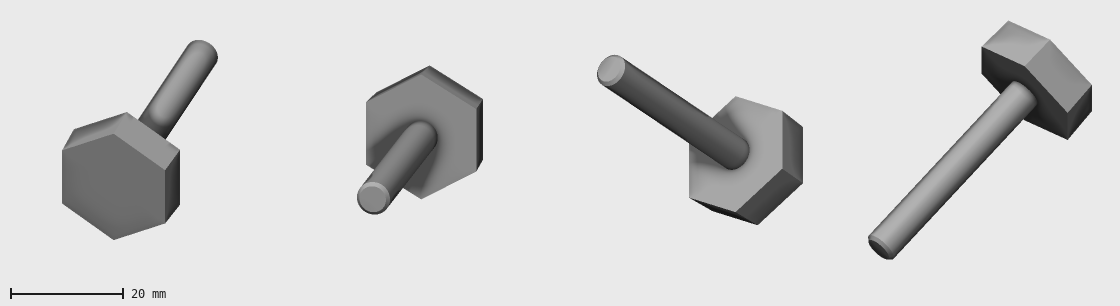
import cadquery as cq
import math

total_length = 47.0
head_height = 7.0
head_width = 20.0
head_sides = 6
head_draft = 2.5
shank_diameter = 6.0
tip_chamfer = 0.6

shank_length = total_length - head_height
head_across_corners = head_width / math.cos(math.pi / head_sides)
corner_angle = 90

head = (
    cq.Workplane("XZ")
    .transformed(rotate=(0, 0, corner_angle))
    .polygon(head_sides, head_across_corners)
    .extrude(head_height, taper=head_draft)
)

shank = (
    cq.Workplane("XZ")
    .circle(shank_diameter / 2)
    .extrude(-shank_length)
    .faces(">Y")
    .chamfer(tip_chamfer)
)

result = head.union(shank)